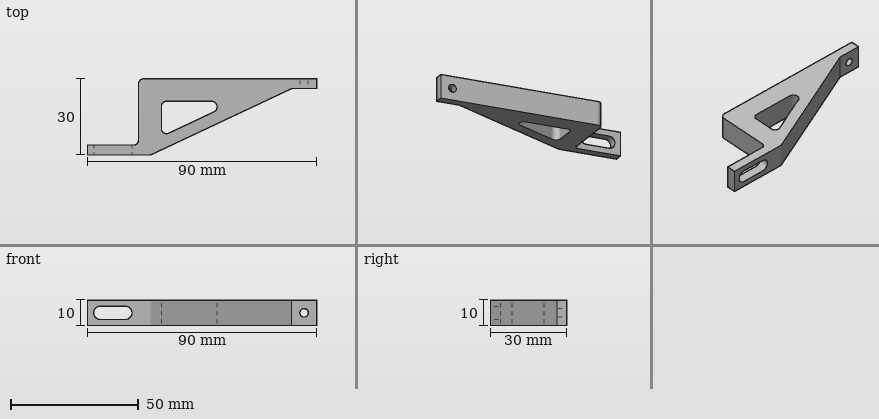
import cadquery as cq

length = 90.0
depth = 30.0
height = 10.0

flange_thickness = 4.0
web_left = 20.0
slope_start = 24.8
slope_end = 80.1
back_corner_radius = 2.2
inner_corner_radius = 1.8
slope_start_radius = 2.0

window_left = 29.1
window_back = 21.1
window_front = 7.3
window_radius = 2.0
window_tip_radius = 2.2

slot_length = 14.9
slot_width = 5.1
slot_center_x = 10.0
hole_diameter = 3.2
hole_center_x = 85.0
mid_height = height / 2


def make_body():
    """Z-shaped plate with two end flanges joined by a sloping web."""
    outline = [
        (0, 0),
        (slope_start, 0),
        (slope_end, depth - flange_thickness),
        (length, depth - flange_thickness),
        (length, depth),
        (web_left, depth),
        (web_left, flange_thickness),
        (0, flange_thickness),
    ]
    body = cq.Workplane("XY").polyline(outline).close().extrude(height)
    for corner, radius in (
        ((web_left, depth), back_corner_radius),
        ((web_left, flange_thickness), inner_corner_radius),
        ((slope_start, 0), slope_start_radius),
    ):
        point = (corner[0], corner[1], mid_height)
        body = body.edges("|Z").edges(cq.NearestToPointSelector(point)).fillet(radius)
    return body


def make_window():
    """Round-cornered triangular cutter, its long side parallel to the sloping web."""
    slope = (depth - flange_thickness) / (slope_end - slope_start)
    window_tip_x = window_left + (window_back - window_front) / slope
    corners = [
        (window_left, window_front),
        (window_tip_x, window_back),
        (window_left, window_back),
    ]
    window = cq.Workplane("XY").polyline(corners).close().extrude(height)
    window = window.edges("|Z and >X").fillet(window_tip_radius)
    return window.edges("|Z and <X").fillet(window_radius)


def make_flange_openings():
    """Cutters for the slot in the front flange and the hole in the back flange."""
    slot = (
        cq.Workplane("XZ")
        .center(slot_center_x, mid_height)
        .slot2D(slot_length, slot_width)
        .extrude(-flange_thickness)
    )
    hole = (
        cq.Workplane("XZ", origin=(0, depth, 0))
        .center(hole_center_x, mid_height)
        .circle(hole_diameter / 2)
        .extrude(flange_thickness)
    )
    return slot.union(hole)


result = make_body().cut(make_window()).cut(make_flange_openings())